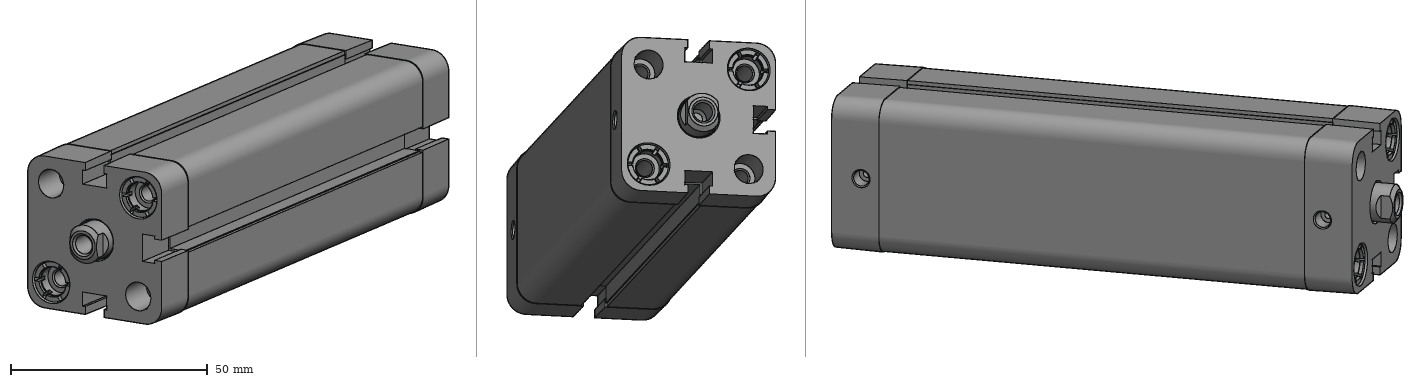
import cadquery as cq

TOTAL_LENGTH = 145.0
ROD_PROJECTION = 5.8
HOUSING_LENGTH = TOTAL_LENGTH - ROD_PROJECTION
CAP_LENGTH = 12.7
BARREL_LENGTH = HOUSING_LENGTH - 2 * CAP_LENGTH

WIDTH = 40.0
CAP_WIDTH = 40.3
CORNER_RADIUS = 5.0

SLOT_MOUTH = 5.6
SLOT_LIP = 2.1
CAP_SLOT_WIDTH = 7.2
CAP_SLOT_DEPTH = 5.8
BARREL_SLOT_WIDTH = 6.2
BARREL_SLOT_DEPTH = 5.4
BARREL_MOUTH_WIDTH = 6.7
BARREL_MOUTH_DEPTH = 1.0
SLOT_ANGLES = (-90, 0, 90)

HOLE_OFFSET = 13.0
THROUGH_DIAMETER = 4.13
COUNTERSINK_DIAMETER = 4.92
MOUNTING_BORE_DIAMETER = 7.5
MOUNTING_BORE_DEPTH = 10.0

RECESS_DIAMETER = 11.1
RECESS_FLOOR_DIAMETER = 10.5
RECESS_DEPTH = 0.6
SOCKET_MOUTH_DIAMETER = 8.0
SOCKET_MOUTH_DEPTH = 1.5
SOCKET_DIAMETER = 7.5
SOCKET_DEPTH = 4.6
NOTCH_COUNT = 6
NOTCH_WIDTH = 0.9
NOTCH_DEPTH = 3.0

ROD_DIAMETER = 10.0
ROD_FACE_DIAMETER = 7.5
ROD_CHAMFER_LENGTH = 1.0
ROD_FLATS = 8.0
ROD_FLAT_LENGTH = 3.4
ROD_CLEARANCE_DIAMETER = 11.1
ROD_CLEARANCE_FLOOR_DIAMETER = 10.5
ROD_CLEARANCE_DEPTH = 1.0
ROD_THREAD_DIAMETER = 4.92
ROD_THREAD_COUNTERSINK = 6.0
ROD_THREAD_DEPTH = 8.0
ROD_THREAD_END_DIAMETER = 3.3

PORT_TO_BARREL = 4.8
PORT_MOUTH_DIAMETER = 4.92
PORT_DIAMETER = 4.13
PORT_DEPTH = 5.0
PORT_BOTTOM_DIAMETER = 2.0
PORT_BOTTOM_DEPTH = 8.0


def section_plane(y):
    """Cross-section plane at y whose normal points along +Y and whose local y is world Z."""
    return cq.Plane(origin=(0, y, 0), xDir=(-1, 0, 0), normal=(0, 1, 0))


def rounded_square(width):
    return cq.Sketch().rect(width, width).vertices().fillet(CORNER_RADIUS)


def bore(x, z, y, diameter, depth):
    return cq.Workplane(section_plane(y)).center(-x, z).circle(diameter / 2).extrude(depth)


def cone(x, z, y, start_diameter, end_diameter, depth):
    profile = cq.Workplane(section_plane(y)).center(-x, z).circle(start_diameter / 2)
    return profile.workplane(offset=depth).circle(end_diameter / 2).loft()


def cap(outer_y, inner_y):
    sections = cq.Workplane(section_plane(outer_y)).placeSketch(
        rounded_square(WIDTH),
        rounded_square(CAP_WIDTH).moved(cq.Location(cq.Vector(0, 0, inner_y - outer_y))),
    )
    return sections.loft()


def side_channel(y, length, width, near, far):
    """Box along Y in the +X side, spanning X from near to far."""
    box = cq.Workplane("XY").box(far - near, length, width, centered=(False, False, True))
    return box.translate((near, y, 0))


def slot():
    """Sensor slot in the +X side: undercut through the caps, stepped at its mouth along the barrel."""
    half = WIDTH / 2
    outside = CAP_WIDTH
    mouth = side_channel(0, HOUSING_LENGTH, SLOT_MOUTH, half - BARREL_SLOT_DEPTH, outside)
    barrel = side_channel(CAP_LENGTH, BARREL_LENGTH, BARREL_SLOT_WIDTH, half - BARREL_SLOT_DEPTH, half)
    step = side_channel(CAP_LENGTH, BARREL_LENGTH, BARREL_MOUTH_WIDTH, half - BARREL_MOUTH_DEPTH, half)
    barrel = barrel.union(step)
    cutter = mouth.union(barrel)
    for start in (0, HOUSING_LENGTH - CAP_LENGTH):
        undercut = side_channel(start, CAP_LENGTH, CAP_SLOT_WIDTH, half - CAP_SLOT_DEPTH, half - SLOT_LIP)
        cutter = cutter.union(undercut)
    return cutter


def housing():
    barrel = cq.Workplane(section_plane(CAP_LENGTH)).placeSketch(rounded_square(WIDTH)).extrude(BARREL_LENGTH)
    body = barrel.union(cap(0, CAP_LENGTH)).union(cap(HOUSING_LENGTH, HOUSING_LENGTH - CAP_LENGTH))
    for angle in SLOT_ANGLES:
        body = body.cut(slot().rotate((0, 0, 0), (0, 1, 0), angle))
    return body


def through_hole(x, z, floor):
    """Hole along the whole housing, countersunk where it starts at the given floor."""
    hole = bore(x, z, 0, THROUGH_DIAMETER, HOUSING_LENGTH)
    countersink_depth = (COUNTERSINK_DIAMETER - THROUGH_DIAMETER) / 2
    return hole.union(cone(x, z, floor, COUNTERSINK_DIAMETER, THROUGH_DIAMETER, countersink_depth))


def mounting_hole(x, z):
    wide_bore = bore(x, z, 0, MOUNTING_BORE_DIAMETER, MOUNTING_BORE_DEPTH)
    return through_hole(x, z, MOUNTING_BORE_DEPTH).union(wide_bore)


def screw_head(x, z):
    cutter = through_hole(x, z, SOCKET_DEPTH)
    cutter = cutter.union(cone(x, z, 0, RECESS_DIAMETER, RECESS_FLOOR_DIAMETER, RECESS_DEPTH))
    cutter = cutter.union(bore(x, z, 0, SOCKET_MOUTH_DIAMETER, SOCKET_MOUTH_DEPTH))
    cutter = cutter.union(bore(x, z, 0, SOCKET_DIAMETER, SOCKET_DEPTH))
    for index in range(NOTCH_COUNT // 2):
        angle = index * 360 / NOTCH_COUNT
        notch_pair = cq.Workplane(section_plane(0)).center(-x, z).transformed(rotate=(0, 0, angle))
        notch_pair = notch_pair.rect(RECESS_FLOOR_DIAMETER, NOTCH_WIDTH).extrude(NOTCH_DEPTH)
        cutter = cutter.union(notch_pair)
    return cutter


def rod_flat():
    """Cutter for the +X wrench flat, with a 45 degree run-out towards the housing."""
    flat_x = ROD_FLATS / 2
    flat_end = ROD_FLAT_LENGTH - ROD_PROJECTION
    return (
        cq.Workplane("XY")
        .moveTo(flat_x, -ROD_PROJECTION)
        .lineTo(flat_x, flat_end)
        .lineTo(ROD_DIAMETER / 2, flat_end + ROD_DIAMETER / 2 - flat_x)
        .lineTo(ROD_DIAMETER / 2, -ROD_PROJECTION)
        .close()
        .extrude(ROD_DIAMETER / 2, both=True)
    )


def rod():
    tip = -ROD_PROJECTION
    body = bore(0, 0, tip, ROD_DIAMETER, ROD_PROJECTION + ROD_CLEARANCE_DEPTH)
    body = body.faces("<Y").chamfer(ROD_CHAMFER_LENGTH, (ROD_DIAMETER - ROD_FACE_DIAMETER) / 2)
    body = body.cut(rod_flat()).cut(rod_flat().mirror("YZ"))
    return body


def rod_clearance():
    return cone(0, 0, 0, ROD_CLEARANCE_DIAMETER, ROD_CLEARANCE_FLOOR_DIAMETER, ROD_CLEARANCE_DEPTH)


def rod_thread():
    tip = -ROD_PROJECTION
    countersink_depth = (ROD_THREAD_COUNTERSINK - ROD_THREAD_DIAMETER) / 2
    hole = cone(0, 0, tip, ROD_THREAD_COUNTERSINK, ROD_THREAD_DIAMETER, countersink_depth)
    hole = hole.union(bore(0, 0, tip, ROD_THREAD_DIAMETER, ROD_THREAD_DEPTH))
    end_depth = (ROD_THREAD_DIAMETER - ROD_THREAD_END_DIAMETER) / 2
    end = cone(0, 0, tip + ROD_THREAD_DEPTH, ROD_THREAD_DIAMETER, ROD_THREAD_END_DIAMETER, end_depth)
    return hole.union(end)


def port(y):
    """Stepped port from the -X side, with a 45 degree countersunk mouth."""
    start = cq.Workplane("YZ", origin=(-CAP_WIDTH / 2, y, 0))
    port_hole = start.circle(PORT_DIAMETER / 2).extrude(PORT_DEPTH)
    mouth_depth = (PORT_MOUTH_DIAMETER - PORT_DIAMETER) / 2
    mouth = start.circle(PORT_MOUTH_DIAMETER / 2)
    mouth = mouth.workplane(offset=mouth_depth).circle(PORT_DIAMETER / 2).loft()
    bottom = start.circle(PORT_BOTTOM_DIAMETER / 2).extrude(PORT_BOTTOM_DEPTH)
    return port_hole.union(mouth).union(bottom)


result = housing()
for side in (1, -1):
    result = result.cut(screw_head(side * HOLE_OFFSET, side * HOLE_OFFSET))
    result = result.cut(mounting_hole(side * HOLE_OFFSET, -side * HOLE_OFFSET))
for port_y in (CAP_LENGTH - PORT_TO_BARREL, HOUSING_LENGTH - CAP_LENGTH + PORT_TO_BARREL):
    result = result.cut(port(port_y))
result = result.cut(rod_clearance())
result = result.union(rod()).cut(rod_thread())